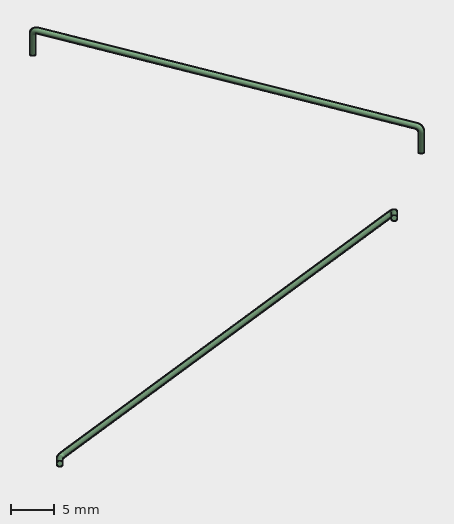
import cadquery as cq

span = 48.75
height = 4.0
wire_diameter = 0.75
bend_radius = 0.65

wire_radius = wire_diameter / 2
leg_x = span / 2 - wire_radius
bar_z = height - wire_radius

centreline = (
    cq.Workplane("XZ")
    .moveTo(-leg_x, 0)
    .lineTo(-leg_x, bar_z - bend_radius)
    .radiusArc((-leg_x + bend_radius, bar_z), bend_radius)
    .lineTo(leg_x - bend_radius, bar_z)
    .radiusArc((leg_x, bar_z - bend_radius), bend_radius)
    .lineTo(leg_x, 0)
)

result = (
    cq.Workplane("XY")
    .center(-leg_x, 0)
    .circle(wire_radius)
    .sweep(centreline)
)